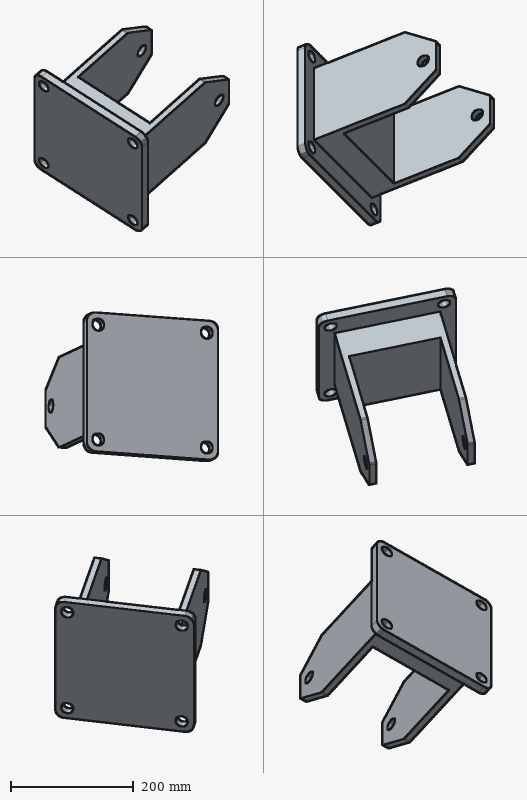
import cadquery as cq

plate_side = 230.0
plate_thickness = 15.0
plate_corner_radius = 15.0
plate_hole_diameter = 20.0
plate_hole_spacing = 190.0

overall_depth = 250.0
fork_width = 177.0
fork_height = 150.0
arm_thickness = 12.0
block_depth = 50.0
taper_length = 60.0
tip_height = 60.0
taper_corner_radius = 5.0
pin_hole_diameter = 21.0
pin_hole_to_tip = 25.0

block_end = plate_thickness + block_depth
slot_width = fork_width - 2 * arm_thickness


def make_plate():
    """Square plate with rounded corners and a hole near each corner."""
    return (
        cq.Workplane("XZ")
        .rect(plate_side, plate_side)
        .extrude(-plate_thickness)
        .edges("|Y")
        .fillet(plate_corner_radius)
        .faces("<Y")
        .workplane(origin=(0, 0, 0))
        .rect(plate_hole_spacing, plate_hole_spacing, forConstruction=True)
        .vertices()
        .hole(plate_hole_diameter)
    )


def make_fork():
    """Side profile extruded across the fork, then slotted and cross-drilled."""
    half_height = fork_height / 2
    half_tip = tip_height / 2
    taper_start = overall_depth - taper_length
    profile = [
        (plate_thickness, -half_height),
        (taper_start, -half_height),
        (overall_depth, -half_tip),
        (overall_depth, half_tip),
        (taper_start, half_height),
        (plate_thickness, half_height),
    ]
    body = cq.Workplane("YZ").polyline(profile).close().extrude(fork_width / 2, both=True)
    body = body.edges("|X").edges("not <Y").fillet(taper_corner_radius)

    slot = cq.Workplane("XY").box(
        slot_width, overall_depth - block_end, fork_height, centered=(True, False, True)
    ).translate((0, block_end, 0))
    pin_hole = (
        cq.Workplane("YZ")
        .center(overall_depth - pin_hole_to_tip, 0)
        .circle(pin_hole_diameter / 2)
        .extrude(fork_width / 2, both=True)
    )
    return body.cut(slot).cut(pin_hole)


result = make_plate().union(make_fork())